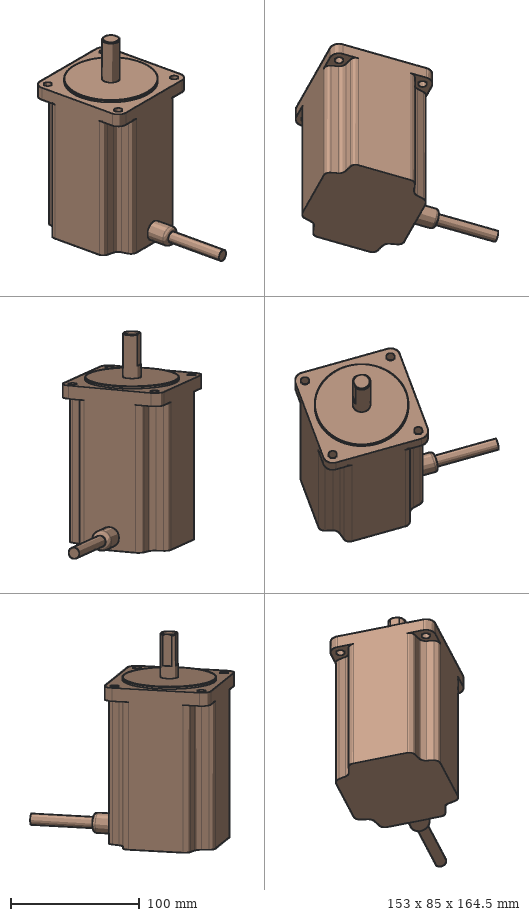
import cadquery as cq
import math

total_height = 164.5
body_width = 85.0
total_length_x = 153.0
half_width = body_width / 2

flange_top = 127.7
flange_thickness = 10.5
flange_corner_radius = 7.5
mount_hole_diameter = 6.5
mount_hole_offset = 34.9
pilot_diameter = 73.0
pilot_height = 2.0
pilot_chamfer = 0.5

relief_inset = 8.0
relief_radius = 6.1
relief_edge_radius = 5.3
relief_wall_angle = math.radians(15)

shaft_diameter = 14.0
shaft_chamfer = 0.8
flat_length = 25.0
flat_depth = 1.0

cable_height = 10.7
gland_diameter = 16.0
gland_length = 18.0
gland_round = 3.0
cable_diameter = 9.0

flange_bottom = flange_top - flange_thickness


def corner_relief():
    """Cutter for the corner at -X, -Y, drawn from that corner inward."""
    sine = math.sin(relief_wall_angle)
    cosine = math.cos(relief_wall_angle)

    near = relief_inset + relief_radius * sine
    far = relief_inset + relief_radius * cosine
    middle = relief_inset + relief_radius * math.sqrt(0.5)

    round_depth = relief_edge_radius * (1 - sine)
    round_end = far + (near - round_depth) * math.tan(relief_wall_angle)
    side_start = round_end + relief_edge_radius * cosine
    half_turn = (math.pi / 2 - relief_wall_angle) / 2
    round_mid_depth = relief_edge_radius * (1 - math.cos(half_turn))
    round_mid = side_start - relief_edge_radius * math.sin(half_turn)

    return (
        cq.Workplane("XY", origin=(-half_width, -half_width, 0))
        .moveTo(0, 0)
        .lineTo(0, side_start)
        .threePointArc((round_mid_depth, round_mid), (round_depth, round_end))
        .lineTo(near, far)
        .threePointArc((middle, middle), (far, near))
        .lineTo(round_end, round_depth)
        .threePointArc((round_mid, round_mid_depth), (side_start, 0))
        .close()
        .extrude(flange_bottom)
    )


def housing():
    block = cq.Workplane("XY").rect(body_width, body_width).extrude(flange_bottom)
    relief = corner_relief()
    for quarter_turn in range(4):
        block = block.cut(relief.rotate((0, 0, 0), (0, 0, 1), 90 * quarter_turn))
    return block


def flange():
    plate = (
        cq.Workplane("XY", origin=(0, 0, flange_bottom))
        .rect(body_width, body_width)
        .extrude(flange_thickness)
        .edges("|Z")
        .fillet(flange_corner_radius)
        .faces(">Z")
        .workplane()
        .rect(2 * mount_hole_offset, 2 * mount_hole_offset, forConstruction=True)
        .vertices()
        .hole(mount_hole_diameter)
    )
    pilot = (
        cq.Workplane("XY", origin=(0, 0, flange_top))
        .circle(pilot_diameter / 2)
        .extrude(pilot_height)
        .faces(">Z")
        .chamfer(pilot_chamfer)
    )
    return plate.union(pilot)


def shaft():
    radius = shaft_diameter / 2
    rod = (
        cq.Workplane("XY", origin=(0, 0, flange_top))
        .circle(radius)
        .extrude(total_height - flange_top)
        .faces(">Z")
        .chamfer(shaft_chamfer)
    )
    flat_cutter = cq.Workplane("XY").box(
        shaft_diameter, shaft_diameter, flat_length, centered=(True, True, False)
    )
    flat_bottom = total_height - flat_length
    cutter_offset = shaft_diameter - flat_depth
    for x, y in ((-cutter_offset, 0), (0, cutter_offset)):
        rod = rod.cut(flat_cutter.translate((x, y, flat_bottom)))
    return rod


def cable_outlet():
    side = cq.Workplane("YZ", origin=(half_width, 0, cable_height))
    gland = (
        side.circle(gland_diameter / 2)
        .extrude(gland_length)
        .faces(">X")
        .edges()
        .fillet(gland_round)
    )
    cable = side.circle(cable_diameter / 2).extrude(total_length_x - body_width)
    return gland.union(cable)


result = housing().union(flange()).union(shaft()).union(cable_outlet())